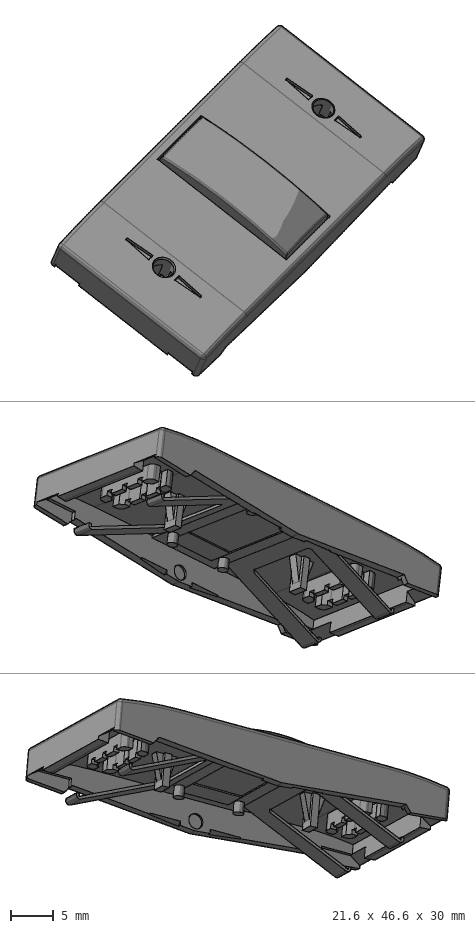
import cadquery as cq
import math


TURN_X = 24.6
TURN_Y = 30.8
TURN_Z = 12.5

HALF_WIDTH = 11.05
HALF_LENGTH = 22.25
FLAT_HALF_LENGTH = 14.0
END_DROP = 0.7
FACE_THICKNESS = 1.7
SIDE_WALL = 1.25
END_WALL = 1.4
EDGE_RADIUS = 0.5

REAR_DEPTH = 5.75
REAR_SLOPE = 0.09
FOOT_START = 16.55
FOOT_FULL = 17.25
FOOT_HEIGHT = 0.95

END_REAR_DEPTH = 4.75
TAB_HALF_WIDTH = 6.65
RECESS_OUTER_DEPTH = 4.3
RECESS_INNER_DEPTH = 3.35

FOOT_THIN_START = 16.75
FOOT_THIN_DEPTH = 3.4
FOOT_THIN_WIDTH = 0.5
DIMPLE_RADIUS = 0.95
DIMPLE_W = -4.5
DIMPLE_DEPTH = 0.3
POCKET_START = 2.0
POCKET_END = 6.05
POCKET_W = -5.05
POCKET_WIDTH = 0.7
POCKET_SLOPE = 50.0

SCREW_V = 16.05
SCREW_RADIUS = 1.25
SCREW_RIM = 0.15
FRAME_HALF_WIDTH = 4.6
FRAME_HALF_HEIGHT = 1.8
FRAME_CORNER = 0.7
FRAME_DEPTH = 3.77
FRAME_BORE_HALF_WIDTH = 3.75
FRAME_BORE_RADIUS = 1.1
FRAME_FLOOR = 1.4
FRAME_SLOT = 1.1
NOTCH_PITCH = 2.65
NOTCH_WIDTH = 0.75
NOTCH_DEPTH = 0.55
MARK_START = 1.95
MARK_LENGTH = 3.65
MARK_HALF_HEIGHT = 0.4
MARK_TIP_HALF_HEIGHT = 0.15
MARK_DEPTH = 0.45

POST_V = 9.92
POST_HALF_LENGTH = 1.0
POST_HALF_THICKNESS = 0.45
POST_DEPTH = 5.82
FIN_HALF_SPAN = 1.4
FIN_FRONT = 0.55
FIN_TOP_DEPTH = 4.9

PIN_U = 6.95
PIN_V = 4.0
PIN_RADIUS = 0.63
PIN_DEPTH = 3.4

WINDOW_HALF_WIDTH = 9.7
WINDOW_HALF_HEIGHT = 4.4
BUTTON_GAP = 0.15
BUTTON_END_RISE = 0.85
BUTTON_RISE = 1.65
BUTTON_CROWN_RADIUS = 23.3
BUTTON_DRAFT = 5.0
BUTTON_EDGE = 0.25
BACK_HALF_WIDTH = 8.4
BACK_HALF_HEIGHT = 3.3
BACK_RECESS_HALF_WIDTH = 5.12
BACK_RECESS_DEPTH = 0.2
LAND_DEPTH = 1.02

CLIP_THICKNESS = 0.35
CLIP_HALF_WIDTH = 9.65
CLIP_BEND_V = 4.95
ARM_OUTER = 7.65
ARM_INNER = 5.05
ARM_SLOT_V = 6.85
ARM_SLOT_CORNER = 0.45
ARM_TIP_V = 18.4
ARM_ANGLE = 23.5
LIP_HEIGHT = 0.95
LIP_BEND = 0.45

CUT_DEPTH = 14.0
BOTH_ENDS = (-1, 1)


def box(u0, u1, v0, v1, w0, w1):
    """Box between two limits on each axis."""
    return cq.Workplane("XY").box(u1 - u0, v1 - v0, w1 - w0, centered=False).translate((u0, v0, w0))


def across(half_width):
    """Workplane in V and W whose symmetric extrusion runs across the width."""
    return cq.Workplane("YZ").workplane(offset=-half_width)


def rear_w(v):
    """Level of the V-shaped rear edge at a place along the length."""
    return -REAR_DEPTH + REAR_SLOPE * abs(v)


def face_radius():
    """Radius of the arcs in which the face falls away toward its ends."""
    run = HALF_LENGTH - FLAT_HALF_LENGTH
    return (run**2 + END_DROP**2) / (2 * END_DROP)


def face_drop(v, depth):
    """Level of the face at v, or of the surface parallel to it at a depth below it."""
    radius = face_radius()
    run = max(abs(v) - FLAT_HALF_LENGTH, 0)
    return math.sqrt((radius - depth) ** 2 - run**2) - radius


def face_profile(half_width, half_length, depth, rear_points):
    """Prism under the face, or under the surface at a depth below it, closed by the rear points."""
    middle = (FLAT_HALF_LENGTH + half_length) / 2
    outline = (
        across(half_width)
        .moveTo(-half_length, face_drop(half_length, depth))
        .threePointArc((-middle, face_drop(middle, depth)), (-FLAT_HALF_LENGTH, -depth))
        .lineTo(FLAT_HALF_LENGTH, -depth)
        .threePointArc((middle, face_drop(middle, depth)), (half_length, face_drop(half_length, depth)))
    )
    for point in rear_points:
        outline = outline.lineTo(*point)
    return outline.close().extrude(2 * half_width)


def shell():
    """Outer block, rounded on its face and corners, with its inside cut out."""
    rear_half = [
        (HALF_LENGTH, rear_w(HALF_LENGTH) - FOOT_HEIGHT),
        (FOOT_FULL, rear_w(FOOT_FULL) - FOOT_HEIGHT),
        (FOOT_START, rear_w(FOOT_START)),
    ]
    rear = rear_half + [(0, -REAR_DEPTH)] + [(-v, w) for v, w in reversed(rear_half)]
    block = face_profile(HALF_WIDTH, HALF_LENGTH, 0, rear)
    corners = block.faces("<Y or >Y").edges("<X or >X")
    block = corners.fillet(EDGE_RADIUS)
    block = block.faces(">Z").edges("<X").fillet(EDGE_RADIUS)
    inner_half_length = HALF_LENGTH - END_WALL
    opening = [(inner_half_length, -CUT_DEPTH), (-inner_half_length, -CUT_DEPTH)]
    return block.cut(face_profile(HALF_WIDTH - SIDE_WALL, inner_half_length, FACE_THICKNESS, opening))


def end_wall_cut(end):
    """Cut that trims one end wall to its tab and the sloped recesses beside it."""
    inner_half_width = HALF_WIDTH - SIDE_WALL + FOOT_THIN_WIDTH
    inner_v = HALF_LENGTH - END_WALL
    tab_trim = box(
        -inner_half_width, inner_half_width, inner_v, HALF_LENGTH + 0.45, -CUT_DEPTH, -END_REAR_DEPTH
    )
    slope = (
        across(inner_half_width)
        .polyline(
            [
                (inner_v, -RECESS_INNER_DEPTH),
                (HALF_LENGTH, -RECESS_OUTER_DEPTH),
                (HALF_LENGTH, -CUT_DEPTH),
                (inner_v, -CUT_DEPTH),
            ]
        )
        .close()
        .extrude(2 * inner_half_width)
    )
    tab = box(-TAB_HALF_WIDTH, TAB_HALF_WIDTH, inner_v, HALF_LENGTH, -CUT_DEPTH, 0)
    cut = tab_trim.union(slope.cut(tab))
    return cut if end > 0 else cut.mirror("XZ")


def wall_cuts(side):
    """Dimple, sloped relief pockets and thinned feet on the inside of one side wall."""
    wall_u = side * (HALF_WIDTH - SIDE_WALL)
    pocket_u = wall_u + side * POCKET_WIDTH
    pocket_w = POCKET_W - POCKET_WIDTH * math.tan(math.radians(POCKET_SLOPE))
    cuts = (
        cq.Workplane("YZ")
        .workplane(offset=wall_u)
        .center(0, DIMPLE_W)
        .circle(DIMPLE_RADIUS)
        .extrude(side * DIMPLE_DEPTH)
    )
    pocket = (
        cq.Workplane("XZ")
        .polyline([(wall_u, POCKET_W), (pocket_u, pocket_w), (pocket_u, -CUT_DEPTH), (wall_u, -CUT_DEPTH)])
        .close()
        .extrude(POCKET_START - POCKET_END)
        .translate((0, POCKET_START, 0))
    )
    u0, u1 = sorted((wall_u, wall_u + side * FOOT_THIN_WIDTH))
    foot = box(u0, u1, FOOT_THIN_START, HALF_LENGTH - END_WALL, -CUT_DEPTH, -FOOT_THIN_DEPTH)
    for cut in (pocket, foot):
        cuts = cuts.union(cut).union(cut.mirror("XZ"))
    return cuts


def screw_frame(v):
    """Rounded frame around one screw hole, open at its ends and notched along its sides."""
    root = -FACE_THICKNESS + 0.45
    frame = (
        box(-FRAME_HALF_WIDTH, FRAME_HALF_WIDTH, -FRAME_HALF_HEIGHT, FRAME_HALF_HEIGHT, -FRAME_DEPTH, root)
        .edges("|Z")
        .fillet(FRAME_CORNER)
    )
    end_slots = box(
        -FRAME_HALF_WIDTH, FRAME_HALF_WIDTH, -FRAME_SLOT / 2, FRAME_SLOT / 2, -FRAME_DEPTH, root
    )
    frame = frame.cut(end_slots)
    for step in (-1, 0, 1):
        u = step * NOTCH_PITCH
        frame = frame.cut(
            box(
                u - NOTCH_WIDTH / 2,
                u + NOTCH_WIDTH / 2,
                -FRAME_HALF_HEIGHT,
                FRAME_HALF_HEIGHT,
                -FRAME_DEPTH,
                -FRAME_DEPTH + NOTCH_DEPTH,
            )
        )
    return frame.translate((0, v, 0))


def screw_hole(v):
    """Round hole with a narrow sloped rim, opening into the long bore of the frame behind it."""
    hole = cq.Workplane("XY").center(0, v).circle(SCREW_RADIUS).extrude(-CUT_DEPTH)
    face_w = face_drop(v, 0)
    rim = (
        cq.Workplane("XY")
        .workplane(offset=face_w - SCREW_RIM)
        .center(0, v)
        .circle(SCREW_RADIUS)
        .workplane(offset=2 * SCREW_RIM)
        .circle(SCREW_RADIUS + 2 * SCREW_RIM)
        .loft()
    )
    bore = (
        cq.Workplane("XY")
        .workplane(offset=-FRAME_DEPTH)
        .center(0, v)
        .slot2D(2 * FRAME_BORE_HALF_WIDTH, 2 * FRAME_BORE_RADIUS)
        .extrude(FRAME_DEPTH - FRAME_FLOOR)
    )
    return hole.union(rim).union(bore)


def pointed_mark(side, v):
    """Pointed recess in the face beside one screw hole."""
    tip = side * (MARK_START + MARK_LENGTH)
    start = side * MARK_START
    prism = (
        cq.Workplane("XY")
        .center(0, v)
        .polyline(
            [
                (start, -MARK_HALF_HEIGHT),
                (tip, -MARK_TIP_HALF_HEIGHT),
                (tip, MARK_TIP_HALF_HEIGHT),
                (start, MARK_HALF_HEIGHT),
            ]
        )
        .close()
        .extrude(-CUT_DEPTH)
    )
    return prism.intersect(box(-HALF_WIDTH, HALF_WIDTH, -HALF_LENGTH, HALF_LENGTH, -MARK_DEPTH, 0))


def post(v):
    """Upright post with a triangular fin along each side."""
    root = -FACE_THICKNESS + 0.45
    core = box(
        -POST_HALF_LENGTH,
        POST_HALF_LENGTH,
        -POST_HALF_THICKNESS,
        POST_HALF_THICKNESS,
        -POST_DEPTH,
        root,
    )
    fins = (
        cq.Workplane("XZ")
        .polyline(
            [
                (-FIN_HALF_SPAN, root),
                (-FIN_HALF_SPAN, -FACE_THICKNESS),
                (-POST_HALF_THICKNESS, -FIN_TOP_DEPTH),
                (POST_HALF_THICKNESS, -FIN_TOP_DEPTH),
                (FIN_HALF_SPAN, -FACE_THICKNESS),
                (FIN_HALF_SPAN, root),
            ]
        )
        .close()
        .extrude(FIN_FRONT, both=True)
        .rotate((0, 0, 0), (0, 0, 1), 90)
    )
    return core.union(fins).translate((0, v, 0))


def pin(u, v):
    """Round pin standing on the back of the face."""
    root = -FACE_THICKNESS + 0.45
    return cq.Workplane("XY").workplane(offset=root).center(u, v).circle(PIN_RADIUS).extrude(-PIN_DEPTH - root)


def make_cover():
    """Cover shell with its screw places, posts, pins and the window for the button."""
    cover = shell()
    for end in BOTH_ENDS:
        cover = cover.cut(end_wall_cut(end))
        for side in BOTH_ENDS:
            cover = cover.union(pin(side * PIN_U, end * PIN_V))
            cover = cover.cut(pointed_mark(side, end * SCREW_V))
        cover = cover.union(screw_frame(end * SCREW_V)).union(post(end * POST_V))
        cover = cover.cut(screw_hole(end * SCREW_V))
    for side in BOTH_ENDS:
        cover = cover.cut(wall_cuts(side))
    window = box(
        -WINDOW_HALF_WIDTH,
        WINDOW_HALF_WIDTH,
        -WINDOW_HALF_HEIGHT,
        WINDOW_HALF_HEIGHT,
        -LAND_DEPTH,
        0,
    )
    passage = box(
        -BACK_HALF_WIDTH, BACK_HALF_WIDTH, -BACK_HALF_HEIGHT, BACK_HALF_HEIGHT, -FACE_THICKNESS, 0
    )
    return cover.cut(window).cut(passage)


def make_button():
    """Doubly domed button that sits on a land in the window, with a back that reaches to the clip."""
    half_width = WINDOW_HALF_WIDTH - BUTTON_GAP
    half_height = WINDOW_HALF_HEIGHT - BUTTON_GAP
    crown_axis_w = BUTTON_RISE - BUTTON_CROWN_RADIUS
    barrel = (
        cq.Workplane("XZ")
        .moveTo(-half_width, crown_axis_w)
        .lineTo(-half_width, BUTTON_END_RISE)
        .threePointArc((0, BUTTON_RISE), (half_width, BUTTON_END_RISE))
        .lineTo(half_width, crown_axis_w)
        .close()
        .revolve(360, (-half_width, crown_axis_w), (half_width, crown_axis_w))
    )
    cap = (
        cq.Workplane("XY")
        .workplane(offset=-LAND_DEPTH)
        .rect(2 * half_width, 2 * half_height)
        .extrude(LAND_DEPTH + 2 * BUTTON_RISE, taper=BUTTON_DRAFT)
    )
    cap = cap.intersect(barrel).faces(">Z").edges().fillet(BUTTON_EDGE)
    back_depth = FACE_THICKNESS + CLIP_THICKNESS
    back = box(
        -BACK_HALF_WIDTH,
        BACK_HALF_WIDTH,
        -BACK_HALF_HEIGHT,
        BACK_HALF_HEIGHT,
        -back_depth,
        -LAND_DEPTH,
    )
    recess = box(
        -BACK_RECESS_HALF_WIDTH,
        BACK_RECESS_HALF_WIDTH,
        -BACK_HALF_HEIGHT,
        BACK_HALF_HEIGHT,
        -back_depth,
        -back_depth + BACK_RECESS_DEPTH,
    )
    return cap.union(back.cut(recess))


def arm_pair(end):
    """Sloped web and its two arms, each ending in an upturned lip."""
    slope = math.radians(ARM_ANGLE)
    top = -FACE_THICKNESS
    rear = top - CLIP_THICKNESS
    drop = (ARM_TIP_V - CLIP_BEND_V) * math.tan(slope)
    thickness_w = CLIP_THICKNESS / math.cos(slope)
    inner_drop = drop - CLIP_THICKNESS * math.tan(slope)
    strip = (
        across(ARM_OUTER)
        .polyline(
            [
                (CLIP_BEND_V, top),
                (CLIP_BEND_V, rear),
                (ARM_TIP_V, rear - drop),
                (ARM_TIP_V, rear - drop + LIP_HEIGHT),
                (ARM_TIP_V - CLIP_THICKNESS, rear - drop + LIP_HEIGHT),
                (ARM_TIP_V - CLIP_THICKNESS, rear - inner_drop + thickness_w),
                (CLIP_BEND_V + CLIP_THICKNESS, rear - CLIP_THICKNESS * math.tan(slope) + thickness_w),
            ]
        )
        .close()
        .extrude(2 * ARM_OUTER)
    )
    slot = (
        box(-ARM_INNER, ARM_INNER, ARM_SLOT_V, HALF_LENGTH, -CUT_DEPTH, 0)
        .edges("|Z and <Y")
        .fillet(ARM_SLOT_CORNER)
    )
    strip = strip.edges("|X").edges("<Z").fillet(LIP_BEND)
    pair = strip.cut(slot)
    return pair if end > 0 else pair.mirror("XZ")


def make_clip():
    """Flat plate with a window for the button back, pin holes and a pair of arms at each end."""
    rear = -FACE_THICKNESS - CLIP_THICKNESS
    clip = box(
        -CLIP_HALF_WIDTH, CLIP_HALF_WIDTH, -CLIP_BEND_V, CLIP_BEND_V, rear, -FACE_THICKNESS
    )
    for end in BOTH_ENDS:
        clip = clip.union(arm_pair(end))
        for side in BOTH_ENDS:
            clip = clip.cut(pin(side * PIN_U, end * PIN_V))
    return clip.cut(
        box(
            -BACK_HALF_WIDTH,
            BACK_HALF_WIDTH,
            -BACK_HALF_HEIGHT,
            BACK_HALF_HEIGHT,
            rear,
            -FACE_THICKNESS,
        )
    )


def turned(body):
    """Body turned from the flat into its place."""
    origin = (0, 0, 0)
    return (
        body.rotate(origin, (1, 0, 0), TURN_X)
        .rotate(origin, (0, 1, 0), TURN_Y)
        .rotate(origin, (0, 0, 1), TURN_Z)
    )


cover = turned(make_cover())
button = turned(make_button())
clip = turned(make_clip())

result = cq.Compound.makeCompound([cover.val(), button.val(), clip.val()])